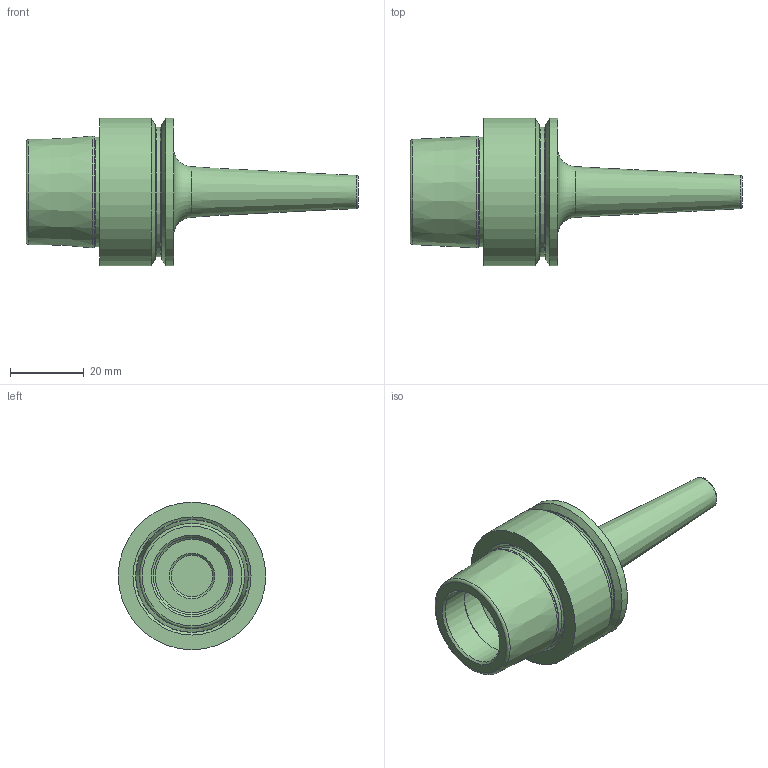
import cadquery as cq
import math

total_length = 90.0
flange_start = 20.0
flange_end = 40.0
flange_radius = 20.0

taper_mouth_radius = 14.25
taper_rim_fillet = 0.75
taper_land_start = 17.95
taper_land_end = 18.45
taper_land_radius = 15.15
relief_start = 18.85
relief_radius = 14.85

undercut_depth = 0.45
undercut_outer_radius = 16.0

groove_center = 35.9
groove_mouth_width = 4.0
groove_slot_width = 1.8
groove_shoulder_radius = 18.3
groove_floor_radius = 17.6
groove_floor_chamfer = 0.35

nose_tip_radius = 4.5
nose_half_angle = math.radians(3.0)
nose_root_fillet = 5.0
nose_tip_fillet = 0.4

bore_radius = 10.5
bore_mouth_radius = 11.05
bore_mouth_chamfer = 0.6
bore_land_end = 8.0
clamp_radius = 11.0
clamp_end = 14.25
bore_floor = 20.0
rear_cone_angle = math.radians(45.0)
rear_bore_radius = 9.95

inner_hole_radius = 5.6
inner_hole_mouth_radius = 6.15
inner_hole_depth = 10.0


def revolve_about_x(profile):
    """Close a half section drawn as X against radius and spin it about the X axis."""
    return profile.close().revolve(360, (0, 0, 0), (1, 0, 0))


def shank_and_flange():
    """Taper shank, its relief, the undercut into the flange face, and the plain flange."""
    mid = math.sqrt(0.5)
    rim_radius = taper_mouth_radius - taper_rim_fillet
    undercut_floor = flange_start + undercut_depth
    profile = (
        cq.Workplane("XY")
        .lineTo(0, rim_radius)
        .threePointArc(
            (taper_rim_fillet * (1 - mid), rim_radius + taper_rim_fillet * mid),
            (taper_rim_fillet, taper_mouth_radius),
        )
        .lineTo(taper_land_start, taper_land_radius)
        .lineTo(taper_land_end, taper_land_radius)
        .lineTo(relief_start, relief_radius)
        .lineTo(flange_start, relief_radius)
        .threePointArc(
            (flange_start + undercut_depth * mid, relief_radius + undercut_depth * (1 - mid)),
            (undercut_floor, relief_radius + undercut_depth),
        )
        .lineTo(flange_start, undercut_outer_radius)
        .lineTo(flange_start, flange_radius)
        .lineTo(flange_end, flange_radius)
        .lineTo(flange_end, 0)
    )
    return revolve_about_x(profile)


def gripper_groove():
    """Ring cutter: V-shaped mouth over a narrow slot with chamfered floor corners."""
    half_mouth = groove_mouth_width / 2
    half_slot = groove_slot_width / 2
    profile = (
        cq.Workplane("XY")
        .moveTo(groove_center - half_mouth, flange_radius)
        .lineTo(groove_center - half_slot, groove_shoulder_radius)
        .lineTo(groove_center - half_slot, groove_floor_radius + groove_floor_chamfer)
        .lineTo(groove_center - half_slot + groove_floor_chamfer, groove_floor_radius)
        .lineTo(groove_center + half_slot - groove_floor_chamfer, groove_floor_radius)
        .lineTo(groove_center + half_slot, groove_floor_radius + groove_floor_chamfer)
        .lineTo(groove_center + half_slot, groove_shoulder_radius)
        .lineTo(groove_center + half_mouth, flange_radius)
    )
    return revolve_about_x(profile)


def nose():
    """Slender cone with a tangent root fillet and a rounded tip edge."""
    slope = math.tan(nose_half_angle)
    cosine = math.cos(nose_half_angle)
    fillet_center_x = flange_end + nose_root_fillet
    cone_radius_there = nose_tip_radius + slope * (total_length - fillet_center_x)
    fillet_center_r = cone_radius_there + nose_root_fillet / cosine

    def root_point(angle):
        return (
            fillet_center_x - nose_root_fillet * math.cos(angle),
            fillet_center_r - nose_root_fillet * math.sin(angle),
        )

    tangent_angle = math.pi / 2 - nose_half_angle
    profile = (
        cq.Workplane("XY")
        .moveTo(flange_end, 0)
        .lineTo(*root_point(0))
        .threePointArc(root_point(tangent_angle / 2), root_point(tangent_angle))
        .lineTo(total_length, nose_tip_radius)
        .lineTo(total_length, 0)
    )
    return revolve_about_x(profile).faces(">X").edges().fillet(nose_tip_fillet)


def clamping_bore():
    """Chamfered bore, wider clamping chamber behind it and a blind hole in its floor."""
    clamp_start = bore_land_end + clamp_radius - bore_radius
    hole_chamfer_end = bore_floor + inner_hole_mouth_radius - inner_hole_radius
    hole_end = bore_floor + inner_hole_depth
    rear_cone_end = clamp_end + (clamp_radius - rear_bore_radius) * math.tan(rear_cone_angle)
    profile = (
        cq.Workplane("XY")
        .lineTo(0, bore_mouth_radius)
        .lineTo(bore_mouth_chamfer, bore_radius)
        .lineTo(bore_land_end, bore_radius)
        .lineTo(clamp_start, clamp_radius)
        .lineTo(clamp_end, clamp_radius)
        .lineTo(rear_cone_end, rear_bore_radius)
        .lineTo(bore_floor, rear_bore_radius)
        .lineTo(bore_floor, inner_hole_mouth_radius)
        .lineTo(hole_chamfer_end, inner_hole_radius)
        .lineTo(hole_end, inner_hole_radius)
        .lineTo(hole_end, 0)
    )
    return revolve_about_x(profile)


result = shank_and_flange().cut(gripper_groove()).union(nose()).cut(clamping_bore())